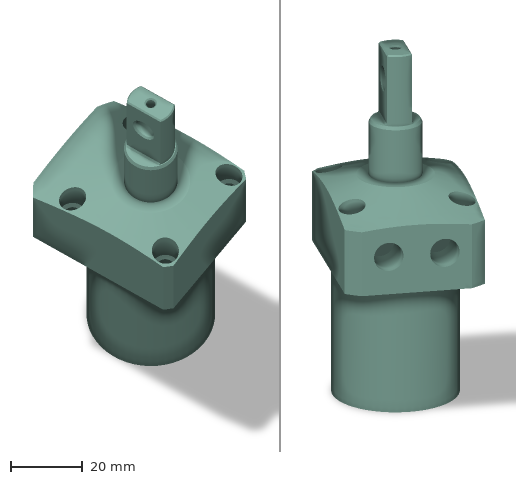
import cadquery as cq
import math

TOTAL_HEIGHT = 102.0
HEAD_BOTTOM = 39.6
HEAD_TOP = 64.5
SHOULDER_HEIGHT = 81.0

BARREL_DIAMETER = 36.0
HEAD_LEFT = 29.0
HEAD_RIGHT = 20.0
HEAD_WIDTH = 40.0
CORNER_RADIUS = 32.9
CORNER_CHAMFER = 2.0
CROWN_DIAMETER = 22.0
CROWN_ANGLE = 15.0

MOUNT_SPACING = 31.4
MOUNT_DIAMETER = 4.6
COUNTERBORE_DIAMETER = 7.5
COUNTERBORE_FLOOR = 54.1

PORT_DIAMETER = 8.4
PORT_SPACING = 16.0
PORT_HEIGHT = 50.7
PORT_DEPTH = 12.2

ROD_DIAMETER = 15.0
SHOULDER_CHAMFER_WIDTH = 0.5
SHOULDER_CHAMFER_HEIGHT = 0.9
TANG_DIAMETER = 13.5
TANG_THICKNESS = 7.1
TANG_CHAMFER = 0.4
TANG_BASE_CHAMFER = 0.5

CROSS_HOLE_DIAMETER = 6.2
CROSS_HOLE_CHAMFER = 0.5
CROSS_HOLE_HEIGHT = TOTAL_HEIGHT - 9.0
END_HOLE_DIAMETER = 2.7
END_HOLE_CHAMFER = 0.4


def make_cylinder(diameter, bottom, top):
    """Cylinder on the rod axis between two heights."""
    return cq.Workplane("XY").workplane(offset=bottom).circle(diameter / 2).extrude(top - bottom)


def make_crown():
    """Solid of revolution that gives the head its conical top and turned corners."""
    rim_height = HEAD_TOP - (CORNER_RADIUS - CROWN_DIAMETER / 2) * math.tan(math.radians(CROWN_ANGLE))
    outline = [
        (0, HEAD_BOTTOM),
        (CORNER_RADIUS, HEAD_BOTTOM),
        (CORNER_RADIUS, rim_height),
        (CROWN_DIAMETER / 2, HEAD_TOP),
        (0, HEAD_TOP),
    ]
    return cq.Workplane("XZ").polyline(outline).close().revolve(360, (0, 0), (0, 1))


def make_head():
    block = (
        cq.Workplane("XY")
        .box(HEAD_LEFT + HEAD_RIGHT, HEAD_WIDTH, HEAD_TOP - HEAD_BOTTOM)
        .translate(((HEAD_RIGHT - HEAD_LEFT) / 2, 0, (HEAD_TOP + HEAD_BOTTOM) / 2))
        .edges("|Z and >X")
        .chamfer(CORNER_CHAMFER)
    )
    return block.intersect(make_crown())


def cut_mounting_holes(body):
    """Four counterbored holes through the head."""
    for bottom, top, diameter in (
        (HEAD_BOTTOM, HEAD_TOP, MOUNT_DIAMETER),
        (COUNTERBORE_FLOOR, HEAD_TOP, COUNTERBORE_DIAMETER),
    ):
        holes = (
            cq.Workplane("XY")
            .workplane(offset=bottom)
            .rect(MOUNT_SPACING, MOUNT_SPACING, forConstruction=True)
            .vertices()
            .circle(diameter / 2)
            .extrude(top - bottom)
        )
        body = body.cut(holes)
    return body


def make_ports():
    """Two blind ports entering from the -X face."""
    half_spacing = PORT_SPACING / 2
    return (
        cq.Workplane("YZ")
        .workplane(offset=-HEAD_LEFT)
        .pushPoints([(-half_spacing, PORT_HEIGHT), (half_spacing, PORT_HEIGHT)])
        .circle(PORT_DIAMETER / 2)
        .extrude(PORT_DEPTH)
    )


def make_housing():
    body = make_cylinder(BARREL_DIAMETER, 0, HEAD_BOTTOM).union(make_head())
    body = cut_mounting_holes(body)
    rod_bore = make_cylinder(ROD_DIAMETER, HEAD_BOTTOM, HEAD_TOP)
    return body.cut(make_ports()).cut(rod_bore)


def make_shaft():
    """Round part of the rod with a steep chamfer on its shoulder."""
    radius = ROD_DIAMETER / 2
    outline = [
        (0, HEAD_BOTTOM),
        (radius, HEAD_BOTTOM),
        (radius, SHOULDER_HEIGHT - SHOULDER_CHAMFER_HEIGHT),
        (radius - SHOULDER_CHAMFER_WIDTH, SHOULDER_HEIGHT),
        (0, SHOULDER_HEIGHT),
    ]
    return cq.Workplane("XZ").polyline(outline).close().revolve(360, (0, 0), (0, 1))


def make_tang():
    """Tang with two flats, chamfered at its end and flared at the foot of each flat."""
    half = TANG_THICKNESS / 2
    foot = half + TANG_BASE_CHAMFER
    flare_top = SHOULDER_HEIGHT + TANG_BASE_CHAMFER
    section = [
        (-foot, SHOULDER_HEIGHT),
        (foot, SHOULDER_HEIGHT),
        (half, flare_top),
        (half, TOTAL_HEIGHT),
        (-half, TOTAL_HEIGHT),
        (-half, flare_top),
    ]
    flats = cq.Workplane("YZ").polyline(section).close().extrude(TANG_DIAMETER / 2, both=True)
    tang = make_cylinder(TANG_DIAMETER, SHOULDER_HEIGHT, TOTAL_HEIGHT).intersect(flats)
    return tang.faces(">Z").chamfer(TANG_CHAMFER)


def make_cross_hole():
    """Hole through both flats, countersunk on each side."""
    half = TANG_THICKNESS / 2
    radius = CROSS_HOLE_DIAMETER / 2
    mouth = radius + CROSS_HOLE_CHAMFER
    outline = [
        (0, -half),
        (mouth, -half),
        (radius, -half + CROSS_HOLE_CHAMFER),
        (radius, half - CROSS_HOLE_CHAMFER),
        (mouth, half),
        (0, half),
    ]
    cutter = cq.Workplane("XY").polyline(outline).close().revolve(360, (0, 0), (0, 1))
    return cutter.translate((0, 0, CROSS_HOLE_HEIGHT))


def make_end_hole():
    """Countersunk hole from the end of the tang into the cross hole."""
    radius = END_HOLE_DIAMETER / 2
    outline = [
        (0, CROSS_HOLE_HEIGHT),
        (radius, CROSS_HOLE_HEIGHT),
        (radius, TOTAL_HEIGHT - END_HOLE_CHAMFER),
        (radius + END_HOLE_CHAMFER, TOTAL_HEIGHT),
        (0, TOTAL_HEIGHT),
    ]
    return cq.Workplane("XZ").polyline(outline).close().revolve(360, (0, 0), (0, 1))


def make_rod():
    return make_shaft().union(make_tang()).cut(make_cross_hole()).cut(make_end_hole())


housing = make_housing()
rod = make_rod()

result = cq.Compound.makeCompound([housing.solids().val(), rod.solids().val()])